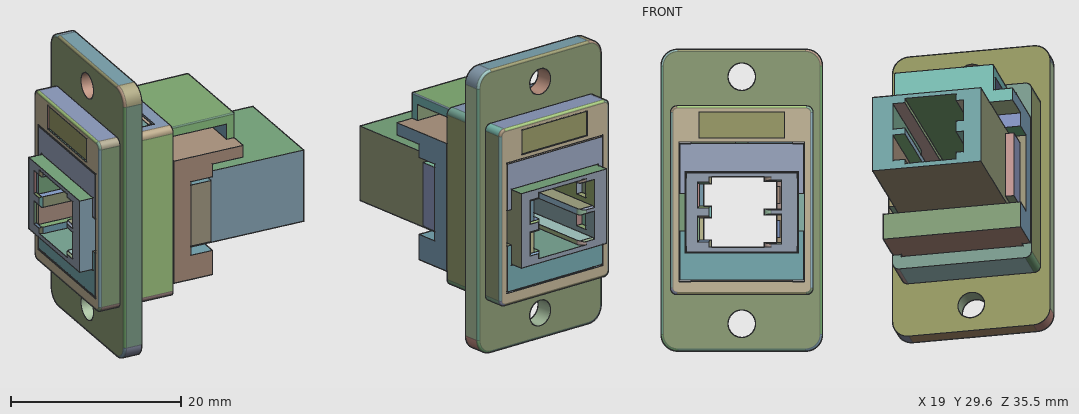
import cadquery as cq


flange_width = 19.0
flange_height = 35.5
flange_thickness = 2.35
flange_corner_radius = 2.0
rim_radius = 0.3
screw_hole_diameter = 3.2
screw_hole_spacing = 29.0

boss_width = 16.75
boss_height = 22.2
boss_front = -2.7
boss_back = 7.03
boss_corner_radius = 0.78
label_width = 10.0
label_height = 3.1
label_center_z = 8.85
label_depth = 0.2

opening_width = 14.75
opening_bottom = -9.55
opening_top = 6.8
channel_top = 10.0
latch_window_width = 13.05
latch_window_back = 5.5

neck_width = 14.52
carrier_bottom = -9.37
carrier_top = 6.65
body_width = 16.58
body_gap = 0.18
body_front = boss_back + body_gap
body_back = 12.3
shelf_back = 16.33
shelf_thickness = 1.53
coupler_slot_front = 9.4
coupler_slot_top = 3.45
side_notch_bottom = -3.62
side_notch_top = 0.8
coupler_clearance = 0.1

latch_width = 11.93
latch_underside = 8.63
latch_front_top = 9.73
latch_back_top = 9.87
latch_root_thickness = 1.0
latch_edge_radius = 0.15
nose_crest_z = 10.95
nose_front = 2.98
nose_crest_front = 4.97
nose_back = 5.4
rib_width = 1.42
rib_front = 10.72
lip_ramp = 0.3
lip_back = flange_thickness

coupler_width = 13.05
coupler_height = 9.35
coupler_center_z = -1.42
coupler_front = -4.35
coupler_length = 29.6
coupler_back = coupler_front + coupler_length
pad_height = 8.0
pad_back = 12.5
pad_thickness = 1.0

passage_left = -3.55
passage_right = 2.63
passage_height = 8.27
socket_center_z = -1.4
port_pitch = 3.98
key_left = -4.45
key_height = 2.6
key_lead_left = -4.97
key_lead = 0.2
tooth_lead = 0.32
groove_right = 4.1
groove_socket_right = 4.65
groove_height = 3.23
groove_lead = 0.15
groove_lead_depth = 0.35
tooth_radius = 0.8
socket_depth = coupler_length / 2
catch_depth = 1.6
catch_height = 2.0
catch_length = 1.7
catch_right = 5.5
ledge_recess_right = 4.5
ledge_recess_depth = 0.35


def block(x_range, y_range, z_range):
    """Box spanning the given X, Y and Z ranges."""
    spans = [high - low for low, high in (x_range, y_range, z_range)]
    corner = (x_range[0], y_range[0], z_range[0])
    return cq.Workplane("XY").box(*spans, centered=False).translate(corner)


def centered_block(width, y_range, z_range):
    """Box of the given width, symmetric about X = 0."""
    return block((-width / 2, width / 2), y_range, z_range)


def span(center, size):
    """Range of the given size about a center."""
    return (center - size / 2, center + size / 2)


def rounded_plate(width, height, y_range, corner_radius):
    """Upright plate with rounded corners and a rounded front rim."""
    plate = centered_block(width, y_range, span(0, height))
    return plate.edges("|Y").fillet(corner_radius).faces("<Y").edges().fillet(rim_radius)


def lead_in(x_range, z_range, x_growth, z_growth, depth):
    """Tapered mouth at the coupler front, larger on each side by the growths at the front face."""
    width = x_range[1] - x_range[0]
    height = z_range[1] - z_range[0]
    center_x = sum(x_range) / 2
    center_z = sum(z_range) / 2
    front = cq.Workplane("XZ", origin=(center_x, coupler_front, center_z))
    mouth = front.rect(width + 2 * x_growth, height + 2 * z_growth)
    return mouth.workplane(offset=-depth).rect(width, height).loft(combine=True)


def make_frame():
    flange = rounded_plate(flange_width, flange_height, (0, flange_thickness), flange_corner_radius)
    boss = rounded_plate(boss_width, boss_height, (boss_front, boss_back), boss_corner_radius)
    screw_holes = (
        cq.Workplane("XZ")
        .pushPoints([(0, -screw_hole_spacing / 2), (0, screw_hole_spacing / 2)])
        .circle(screw_hole_diameter / 2)
        .extrude(-flange_thickness)
    )
    label_recess = centered_block(
        label_width, (boss_front, boss_front + label_depth), span(label_center_z, label_height)
    )
    opening = centered_block(opening_width, (boss_front, boss_back), (opening_bottom, opening_top))
    latch_channel = centered_block(
        latch_window_width, (flange_thickness, boss_back), (opening_top, channel_top)
    )
    latch_window = centered_block(
        latch_window_width, (flange_thickness, latch_window_back), (opening_top, boss_height / 2)
    )
    frame = flange.union(boss).cut(screw_holes).cut(label_recess)
    return frame.cut(opening).cut(latch_channel).cut(latch_window)


def make_latch():
    """Arm rising from the back of the shelf and running forward to a ramped nose."""
    root_front = shelf_back - latch_root_thickness
    arm = (
        cq.Workplane("YZ")
        .polyline([
            (shelf_back, carrier_top),
            (shelf_back, latch_back_top),
            (nose_front, latch_front_top),
            (nose_front, latch_underside),
            (root_front, latch_underside),
            (root_front, carrier_top),
        ])
        .close()
        .extrude(latch_width / 2, both=True)
    )
    arm = arm.faces(">Z").edges("not |X").fillet(latch_edge_radius)
    nose = (
        cq.Workplane("YZ")
        .polyline([
            (nose_front, latch_underside),
            (nose_front, latch_front_top),
            (nose_crest_front, nose_crest_z),
            (nose_back, nose_crest_z),
            (nose_back, latch_underside),
        ])
        .close()
        .extrude(latch_width / 2, both=True)
    )
    rib = centered_block(rib_width, (rib_front, root_front), (carrier_top, latch_underside))
    return arm.union(nose).union(rib)


def make_carrier():
    carrier_z = (carrier_bottom, carrier_top)
    neck = centered_block(neck_width, (boss_front, body_front), carrier_z)
    body = centered_block(body_width, (body_front, body_back), carrier_z)
    shelf = centered_block(
        body_width, (body_front, shelf_back), (carrier_top - shelf_thickness, carrier_top)
    )
    lip = (
        cq.Workplane("YZ")
        .polyline([
            (boss_front, carrier_bottom),
            (lip_back, carrier_bottom),
            (lip_back, opening_bottom),
            (boss_front + lip_ramp, opening_bottom),
        ])
        .close()
        .extrude(latch_width / 2, both=True)
    )
    hole_height = coupler_height + 2 * coupler_clearance
    hole_z = span(coupler_center_z, hole_height)
    coupler_hole = centered_block(
        coupler_width + 2 * coupler_clearance, (boss_front, body_back), hole_z
    )
    coupler_slot = centered_block(
        body_width, (coupler_slot_front, body_back), (hole_z[0], coupler_slot_top)
    )
    side_notches = centered_block(
        neck_width, (boss_front, body_front), (side_notch_bottom, side_notch_top)
    )
    carrier = neck.cut(side_notches)
    carrier = carrier.union(body).union(shelf).union(lip)
    return carrier.cut(coupler_hole).cut(coupler_slot).union(make_latch())


def make_passage():
    """Central opening through the coupler, widening at its front mouth."""
    passage_x = (passage_left, passage_right)
    depth = (coupler_front, coupler_back)
    passage = block(passage_x, depth, span(socket_center_z, passage_height))
    mouth = (
        cq.Workplane("XY")
        .moveTo(passage_left - tooth_lead, coupler_front)
        .lineTo(passage_right + tooth_radius, coupler_front)
        .radiusArc((passage_right, coupler_front + tooth_radius), tooth_radius)
        .lineTo(passage_left, coupler_front + tooth_radius)
        .lineTo(passage_left, coupler_front + tooth_lead)
        .close()
        .extrude(passage_height)
        .translate((0, 0, socket_center_z - passage_height / 2))
    )
    return passage.union(mouth)


def make_port(center_z):
    """Keyway on the left and latch groove on the right of one port."""
    depth = (coupler_front, coupler_back)
    socket = (coupler_front, coupler_front + socket_depth)
    key_z = span(center_z, key_height)
    groove_z = span(center_z, groove_height)
    keyway = block((key_left, passage_left), depth, key_z)
    key_mouth = lead_in((key_lead_left, passage_left), key_z, key_lead, key_lead, key_lead)
    groove = block((passage_right, groove_right), depth, groove_z)
    groove_socket = block((passage_right, groove_socket_right), socket, groove_z)
    groove_mouth = lead_in(
        (passage_right, groove_socket_right), groove_z, 0, groove_lead, groove_lead_depth
    )
    catch_z = span(center_z, catch_height)
    catch_start = coupler_front + catch_depth
    catch = block(
        (groove_socket_right, catch_right), (catch_start, catch_start + catch_length), catch_z
    )
    ledge_recess = block(
        (groove_right, ledge_recess_right), (socket[1], socket[1] + ledge_recess_depth), catch_z
    )
    port = keyway.union(key_mouth).union(groove).union(groove_socket).union(groove_mouth)
    return port.union(catch).union(ledge_recess)


def make_coupler():
    coupler_z = span(coupler_center_z, coupler_height)
    shell = centered_block(coupler_width, (coupler_front, coupler_back), coupler_z)
    pads = centered_block(
        coupler_width + 2 * pad_thickness,
        (coupler_slot_front, pad_back),
        span(coupler_center_z, pad_height),
    )
    coupler = shell.union(pads).cut(make_passage())
    for side in (-1, 1):
        coupler = coupler.cut(make_port(socket_center_z + side * port_pitch / 2))
    return coupler


frame = make_frame()
carrier = make_carrier()
coupler = make_coupler()

result = cq.Compound.makeCompound([frame.val(), carrier.val(), coupler.val()])